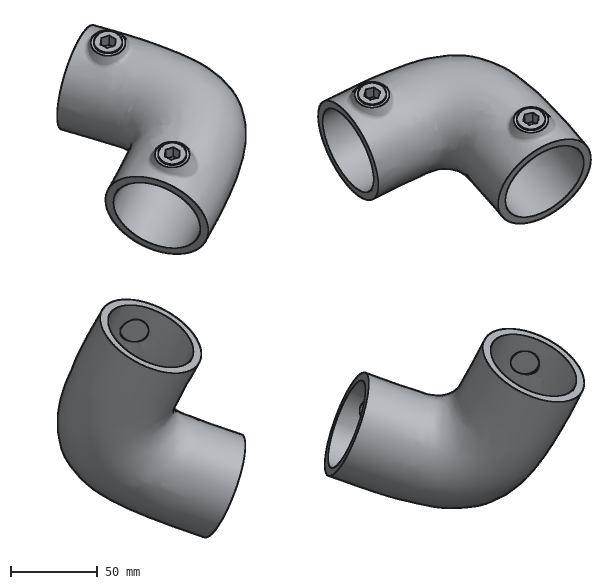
import cadquery as cq
import math

span = 161.2
tube_width = 64.0
tube_height = 62.0
straight_length = 4.8
wall_side = 5.0
wall_top = 4.8
overall_height = 67.0

bend_start_inner = (-12.9, 22.4)
bend_start_outer = (-54.8, 70.8)
bend_middle_inner = (-6.5, 28.0)
bend_middle_outer = (-28.2, 91.1)
bend_apex_inner = (0.0, 29.8)
bend_apex_outer = (0.0, 99.5)

boss_x = 46.9
boss_y = 37.0
boss_top_radius = 10.0
boss_half_angle = 30.0
boss_root_depth = 1.6
boss_fillet = 2.5
screw_radius = 8.2
screw_protrusion = 1.0
hex_flats = 8.4
hex_depth = 8.0

mouth_offset = tube_width * math.sin(math.radians(45))
mouth_outer = (-span / 2, mouth_offset)
mouth_inner = (mouth_offset - span / 2, 0.0)
tube_top = tube_height / 2
screw_top = overall_height - tube_top
boss_top = screw_top - screw_protrusion
screw_bottom = tube_top - wall_top


def midpoint(a, b):
    return ((a[0] + b[0]) / 2, (a[1] + b[1]) / 2)


def along_tube(point):
    """Plan point moved from the left mouth into the tube, along its axis."""
    step = straight_length * math.sin(math.radians(45))
    return (point[0] + step, point[1] + step)


def mirrored(point):
    return (-point[0], point[1])


def elbow_stations():
    """Inner and outer plan points of the cross sections, from mouth to mouth."""
    left = [
        (mouth_inner, mouth_outer),
        (along_tube(mouth_inner), along_tube(mouth_outer)),
        (bend_start_inner, bend_start_outer),
        (bend_middle_inner, bend_middle_outer),
    ]
    right = [(mirrored(inner), mirrored(outer)) for inner, outer in reversed(left)]
    return left + [(bend_apex_inner, bend_apex_outer)] + right


def oval(inner, outer, side_inset, top_inset):
    """Upright ellipse spanning two plan points, shrunk by the given insets."""
    across = cq.Vector(inner[0] - outer[0], inner[1] - outer[1], 0)
    normal = cq.Vector(0, 0, 1).cross(across)
    center = cq.Vector(*midpoint(inner, outer), 0)
    return cq.Wire.makeEllipse(
        across.Length / 2 - side_inset,
        tube_height / 2 - top_inset,
        center,
        normal,
        across,
        rotation_angle=0,
    )


def elbow_solid(side_inset, top_inset):
    sections = [oval(inner, outer, side_inset, top_inset) for inner, outer in elbow_stations()]
    return cq.Workplane(cq.Solid.makeLoft(sections))


def boss(x):
    """Cone that widens downward into the tube wall; the bore trims its base."""
    height = boss_top - screw_bottom + boss_root_depth
    base_radius = boss_top_radius + height * math.tan(math.radians(boss_half_angle))
    cone = cq.Solid.makeCone(
        base_radius, boss_top_radius, height, cq.Vector(x, boss_y, boss_top - height)
    )
    return cq.Workplane(cone)


def screw_blank(x):
    return (
        cq.Workplane("XY", origin=(x, boss_y, screw_bottom))
        .circle(screw_radius)
        .extrude(screw_top - screw_bottom)
    )


def make_set_screw(x):
    hex_corners = hex_flats / math.cos(math.radians(30))
    socket = (
        cq.Workplane("XY", origin=(x, boss_y, screw_top))
        .transformed(rotate=(0, 0, 30))
        .polygon(6, hex_corners)
        .extrude(-hex_depth)
    )
    return screw_blank(x).cut(socket)


def make_screw_hole(x):
    """Hole for one screw, running on through the wall into the bore."""
    return cq.Workplane("XY", origin=(x, boss_y, 0)).circle(screw_radius).extrude(screw_top)


def boss_root_edges(body):
    """Curved edges where the bosses meet the outside of the tube."""
    edges = []
    for edge in body.edges().vals():
        box = edge.BoundingBox()
        near_boss = abs(abs(box.center.x) - boss_x) < boss_top_radius / 2
        is_ring = box.xlen > 2 * boss_top_radius and box.ylen > 2 * boss_top_radius
        if near_boss and is_ring and box.zmax < boss_top - boss_fillet / 2 and box.zmin > 0:
            edges.append(edge)
    return edges


def make_elbow():
    body = elbow_solid(0, 0)
    for x in boss_positions:
        body = body.union(boss(x))
    root_edges = boss_root_edges(body)
    body = body.newObject(root_edges).fillet(boss_fillet)
    body = body.cut(elbow_solid(wall_side, wall_top))
    for x in boss_positions:
        body = body.cut(make_screw_hole(x))
    return body


boss_positions = (-boss_x, boss_x)
elbow = make_elbow()
set_screws = [make_set_screw(x).val() for x in boss_positions]

result = cq.Compound.makeCompound([elbow.val(), *set_screws])